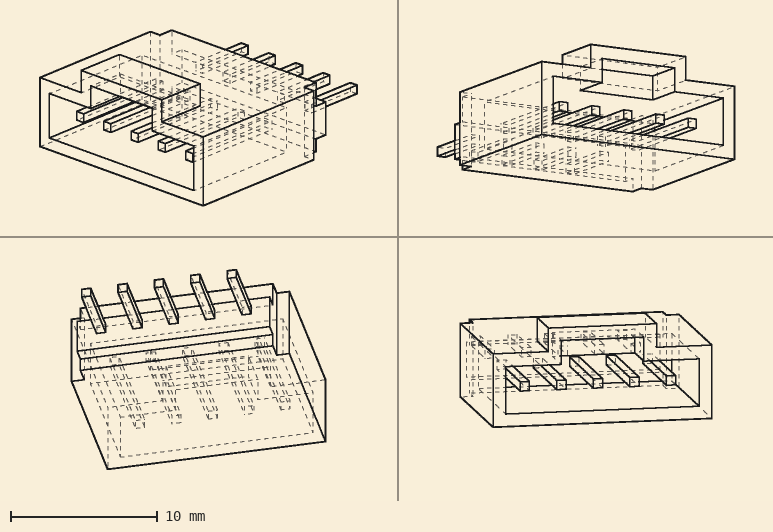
import cadquery as cq

housing_width = 15.24
housing_height = 5.1
housing_length = 11.05
wall = 0.89

rear_width = housing_width - 2 * wall
neck_end = 12.21
tail_end = 13.21
tail_bottom = 0.92
tail_height = 2.44

key_width = 7.52
key_length = 3.82
overall_height = 6.74

cavity_width = housing_width - 2 * wall
cavity_top = 4.18
cavity_depth = 9.25
key_cavity_width = key_width - 2 * wall
key_cavity_depth = key_length - wall
key_cavity_top = overall_height - wall

pin_count = 5
pin_pitch = 2.55
pin_size = 0.64
pin_row_offset = -0.04
pin_height = 2.49
pin_front = 1.35
pin_rear = 17.78


def block(width, y_start, y_end, z_start, z_end, x_center=0):
    """Box centred on x_center, spanning the given y and z ranges."""
    return cq.Workplane("XY").box(
        width, y_end - y_start, z_end - z_start, centered=(True, False, False)
    ).translate((x_center, y_start, z_start))


def make_housing():
    body = block(housing_width, 0, housing_length, 0, housing_height)
    neck = block(rear_width, 0, neck_end, 0, housing_height)
    tail = block(rear_width, 0, tail_end, tail_bottom, tail_bottom + tail_height)
    key = block(key_width, 0, key_length, 0, overall_height)
    return body.union(neck).union(tail).union(key)


def make_cavity():
    main = block(cavity_width, 0, cavity_depth, wall, cavity_top)
    key_space = block(key_cavity_width, 0, key_cavity_depth, wall, key_cavity_top)
    return main.union(key_space)


def make_pin(x_center):
    pin_bottom = pin_height - pin_size / 2
    return block(pin_size, pin_front, pin_rear, pin_bottom, pin_bottom + pin_size, x_center)


result = make_housing().cut(make_cavity())
for index in range(pin_count):
    result = result.union(make_pin(pin_row_offset + (index - (pin_count - 1) / 2) * pin_pitch))